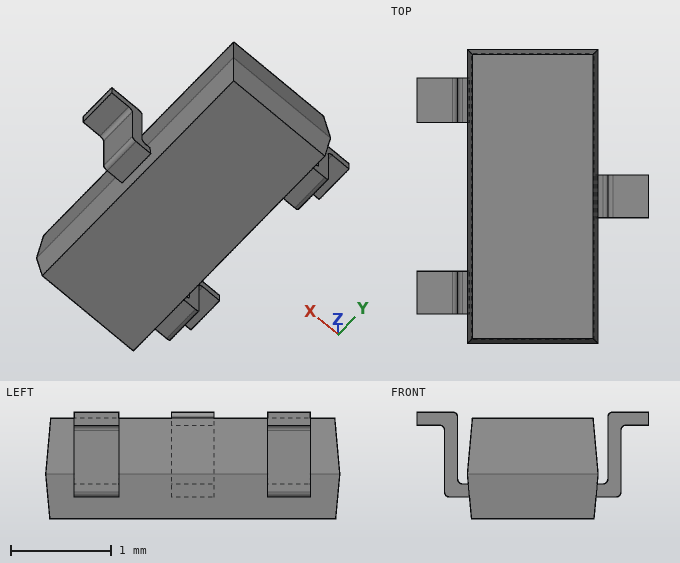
import cadquery as cq

body_length = 2.92
body_width = 1.3
body_height = 1.0
parting_z = 0.445
top_inset = 0.05
bottom_inset = 0.04

lead_span = 2.3
lead_top_z = 1.06
lead_bottom_z = 0.215
lead_thickness = 0.13
leg_outer_x = 0.875
bend_radius = 0.05
lead_width = 0.425
wide_lead_width = 0.445
lead_pitch_y = 0.955
lead_embed = 0.145


def tapered_half(height, inset):
    """Frustum from the parting plane to a smaller face; negative height goes down."""
    return (
        cq.Workplane("XY", origin=(0, 0, parting_z))
        .rect(body_width, body_length)
        .workplane(offset=height)
        .rect(body_width - 2 * inset, body_length - 2 * inset)
        .loft(ruled=True)
    )


def formed_lead(side, center_y, width):
    """Z-shaped lead on the -X (side = -1) or +X (side = 1) face of the body."""
    tip_x = side * lead_span / 2
    outer_x = side * leg_outer_x
    inner_x = side * (leg_outer_x - lead_thickness)
    root_x = side * (body_width / 2 - lead_embed)
    foot_under_z = lead_top_z - lead_thickness
    root_top_z = lead_bottom_z + lead_thickness
    lead = (
        cq.Workplane("XZ", origin=(0, center_y, 0))
        .moveTo(tip_x, lead_top_z)
        .lineTo(inner_x, lead_top_z)
        .lineTo(inner_x, root_top_z)
        .lineTo(root_x, root_top_z)
        .lineTo(root_x, lead_bottom_z)
        .lineTo(outer_x, lead_bottom_z)
        .lineTo(outer_x, foot_under_z)
        .lineTo(tip_x, foot_under_z)
        .close()
        .extrude(width / 2, both=True)
    )
    bend_corners = cq.selectors.BoxSelector(
        (side * (leg_outer_x + bend_radius), center_y - width, 0),
        (side * (body_width / 2), center_y + width, lead_top_z + bend_radius),
    )
    return lead.edges("|Y").edges(bend_corners).fillet(bend_radius)


result = tapered_half(body_height - parting_z, top_inset)
result = result.union(tapered_half(-parting_z, bottom_inset))

leads = [
    (-1, lead_pitch_y, wide_lead_width),
    (-1, -lead_pitch_y, lead_width),
    (1, 0, lead_width),
]
for side, center_y, width in leads:
    result = result.union(formed_lead(side, center_y, width))